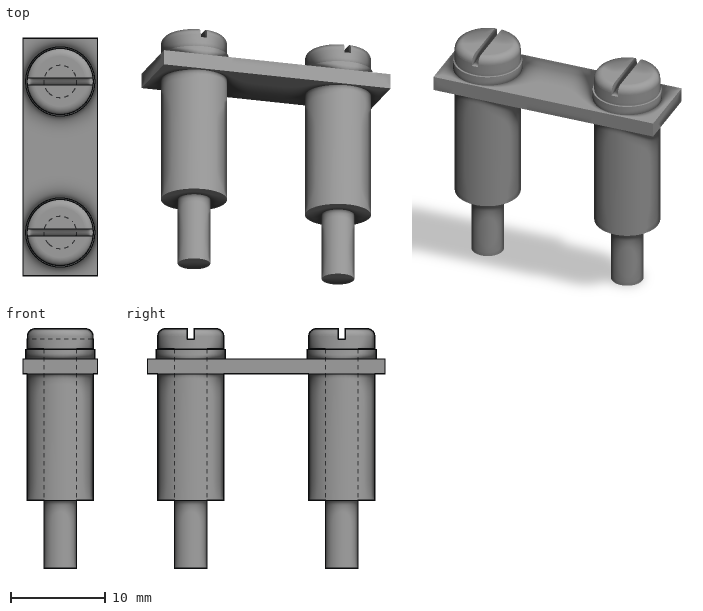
import cadquery as cq

plate_width = 7.9
plate_length = 25.2
plate_thickness = 1.6
screw_spacing = 16.0

exposed_shank_length = 7.21
sleeve_length = 13.39
washer_thickness = 1.02
head_gap = 0.05
total_height = 25.4

sleeve_bottom = exposed_shank_length
plate_bottom = sleeve_bottom + sleeve_length
washer_bottom = plate_bottom + plate_thickness
head_bottom = washer_bottom + washer_thickness + head_gap
head_height = total_height - head_bottom

shank_diameter = 3.45
sleeve_diameter = 7.0
washer_diameter = 7.35
head_diameter = 7.0

head_rounding = 0.81
slot_width = 0.7
slot_depth = 1.12

screw_positions = [(0, -screw_spacing / 2), (0, screw_spacing / 2)]


def make_plate():
    """Flat bar with one hole for each screw."""
    return (
        cq.Workplane("XY", origin=(0, 0, plate_bottom))
        .rect(plate_width, plate_length)
        .pushPoints(screw_positions)
        .circle(shank_diameter / 2)
        .extrude(plate_thickness)
    )


def make_ring(x, y, bottom, outer_diameter, height):
    """Plain ring whose bore fits the screw shank."""
    return (
        cq.Workplane("XY", origin=(x, y, bottom))
        .circle(outer_diameter / 2)
        .circle(shank_diameter / 2)
        .extrude(height)
    )


def make_sleeve(x, y):
    """Spacer tube below the plate."""
    return make_ring(x, y, sleeve_bottom, sleeve_diameter, sleeve_length)


def make_washer(x, y):
    """Washer between the plate and the screw head."""
    return make_ring(x, y, washer_bottom, washer_diameter, washer_thickness)


def make_screw(x, y):
    """Cheese-head screw with a rounded top edge and a slot along X."""
    head = (
        cq.Workplane("XY", origin=(x, y, head_bottom))
        .circle(head_diameter / 2)
        .extrude(head_height)
        .faces(">Z")
        .edges()
        .fillet(head_rounding)
    )
    slot = (
        cq.Workplane("XY", origin=(x, y, total_height - slot_depth))
        .rect(head_diameter, slot_width)
        .extrude(slot_depth)
    )
    shank = (
        cq.Workplane("XY", origin=(x, y, 0))
        .circle(shank_diameter / 2)
        .extrude(head_bottom)
    )
    return head.cut(slot).union(shank)


plate = make_plate()
bodies = [plate.val()]
for x, y in screw_positions:
    for make_body in (make_sleeve, make_washer, make_screw):
        bodies.append(make_body(x, y).val())

result = cq.Compound.makeCompound(bodies)